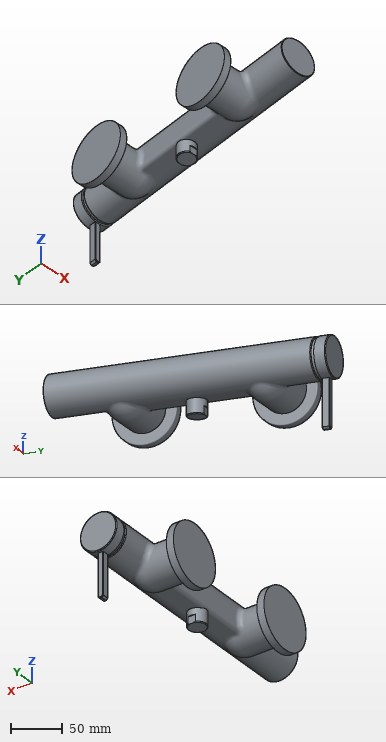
import cadquery as cq

LENGTH = 301.0
CENTRE_Y = -0.45
BACK_X = -60.5

BAR_RADIUS = 22.0
BAR_FRONT_Y = -LENGTH / 2
BAR_REAR_Y = 135.0
BAR_FRONT_CHAMFER = 0.5
BAR_REAR_CHAMFER = 1.0
WATERWAY_CORNER_RADIUS = 4.5

INLET_RADIUS = 23.0
INLET_SPACING = 150.0
INLET_Z = -9.5
INLET_BALL_X = -11.5
INLET_FILLET = 5.5

FLANGE_RADIUS = 35.0
FLANGE_THICKNESS = 9.0
FLANGE_FILLET = 1.0

KNOB_RADIUS = BAR_RADIUS
KNOB_LENGTH = 12.3
KNOB_CHAMFER = 1.0
RING_RADIUS = 20.8
RING_FILLET = 1.8

LEVER_WIDTH = 6.5
LEVER_DEPTH = 8.7
LEVER_BOTTOM_Z = -73.5
LEVER_EDGE_CHAMFER = 1.0
LEVER_TIP_CHAMFER = 2.0

OUTLET_X = -9.5
OUTLET_RADIUS = 10.5
OUTLET_BOTTOM_Z = -38.2
OUTLET_CHAMFER = 1.0
OUTLET_FLAT_TOP_Z = -29.5
OUTLET_ACROSS_FLATS = 19.0

CONTACT_TOLERANCE = 0.003

KNOB_BASE_Y = LENGTH / 2 - KNOB_LENGTH
INLET_BACK_X = BACK_X + FLANGE_THICKNESS
INLET_CENTRES_Y = [CENTRE_Y - INLET_SPACING / 2, CENTRE_Y + INLET_SPACING / 2]


def y_cylinder(radius, start_y, end_y):
    """Cylinder on the bar axis from start_y to end_y."""
    return cq.Workplane("XZ", origin=(0, start_y, 0)).circle(radius).extrude(start_y - end_y)


def x_cylinder(radius, start_x, end_x, centre_y):
    """Cylinder on an inlet axis from start_x to end_x."""
    return cq.Workplane("YZ", origin=(start_x, centre_y, INLET_Z)).circle(radius).extrude(end_x - start_x)


def make_waterway():
    """Block that squares off the lower back quarter of the bar between the inlets."""
    block = cq.Workplane("XY").box(BAR_RADIUS, INLET_SPACING, BAR_RADIUS)
    block = block.translate((-BAR_RADIUS / 2, CENTRE_Y, -BAR_RADIUS / 2))
    return block.edges("<X and <Z").fillet(WATERWAY_CORNER_RADIUS)


def make_inlet(centre_y):
    pipe = x_cylinder(INLET_RADIUS, INLET_BACK_X, INLET_BALL_X, centre_y)
    ball = cq.Workplane("XY", origin=(INLET_BALL_X, centre_y, INLET_Z)).sphere(INLET_RADIUS)
    return pipe.union(ball)


def lies_on(edge, solid):
    """True if the middle of the edge lies on the solid."""
    middle = edge.positionAt(0.5)
    return cq.Vertex.makeVertex(*middle.toTuple()).distance(solid.val()) < CONTACT_TOLERANCE


def make_body():
    """Bar, waterway and both inlets in one piece, blended where the inlets join the bar."""
    bar = y_cylinder(BAR_RADIUS, BAR_FRONT_Y, BAR_REAR_Y)
    bar = bar.faces("<Y").chamfer(BAR_FRONT_CHAMFER).faces(">Y").chamfer(BAR_REAR_CHAMFER)
    bar = bar.union(make_waterway())
    body = bar
    for centre_y in INLET_CENTRES_Y:
        inlet = make_inlet(centre_y)
        body = body.union(inlet)
        joint = [edge for edge in body.edges().vals() if lies_on(edge, bar) and lies_on(edge, inlet)]
        body = body.newObject(joint).fillet(INLET_FILLET)
    return body


def make_flange(centre_y):
    flange = x_cylinder(FLANGE_RADIUS, BACK_X, INLET_BACK_X, centre_y)
    return flange.faces(">X").edges().fillet(FLANGE_FILLET)


def make_ring():
    return y_cylinder(RING_RADIUS, BAR_REAR_Y, KNOB_BASE_Y).faces(">Y").edges().fillet(RING_FILLET)


def make_knob():
    return y_cylinder(KNOB_RADIUS, KNOB_BASE_Y, LENGTH / 2).faces(">Y").chamfer(KNOB_CHAMFER)


def make_lever(knob):
    height = -LEVER_BOTTOM_Z
    lever = cq.Workplane("XY").box(LEVER_WIDTH, LEVER_DEPTH, height)
    lever = lever.edges("<Z and |Y").chamfer(LEVER_TIP_CHAMFER)
    lever = lever.faces("<Y or >Y").chamfer(LEVER_EDGE_CHAMFER)
    lever = lever.translate((0, KNOB_BASE_Y + LEVER_DEPTH / 2, -height / 2))
    return lever.cut(knob)


def make_outlet(body):
    """Round spigot under the waterway with two spanner flats at its lower end."""
    outlet = cq.Workplane("XY", origin=(OUTLET_X, CENTRE_Y, OUTLET_BOTTOM_Z)).circle(OUTLET_RADIUS)
    outlet = outlet.extrude(-BAR_RADIUS / 2 - OUTLET_BOTTOM_Z).faces("<Z").chamfer(OUTLET_CHAMFER)
    flat_cut = cq.Workplane("XY").box(2 * OUTLET_RADIUS, OUTLET_RADIUS, OUTLET_RADIUS)
    flat_offset = (OUTLET_ACROSS_FLATS + OUTLET_RADIUS) / 2
    for side in (-1, 1):
        flat_y = CENTRE_Y + side * flat_offset
        outlet = outlet.cut(flat_cut.translate((OUTLET_X, flat_y, OUTLET_FLAT_TOP_Z - OUTLET_RADIUS / 2)))
    return outlet.cut(body)


body = make_body()
flanges = [make_flange(centre_y) for centre_y in INLET_CENTRES_Y]
ring = make_ring()
knob = make_knob()
lever = make_lever(knob)
outlet = make_outlet(body)
result = cq.Compound.makeCompound(
    [body.val(), ring.val(), knob.val(), lever.val(), outlet.val(), *[flange.val() for flange in flanges]]
)